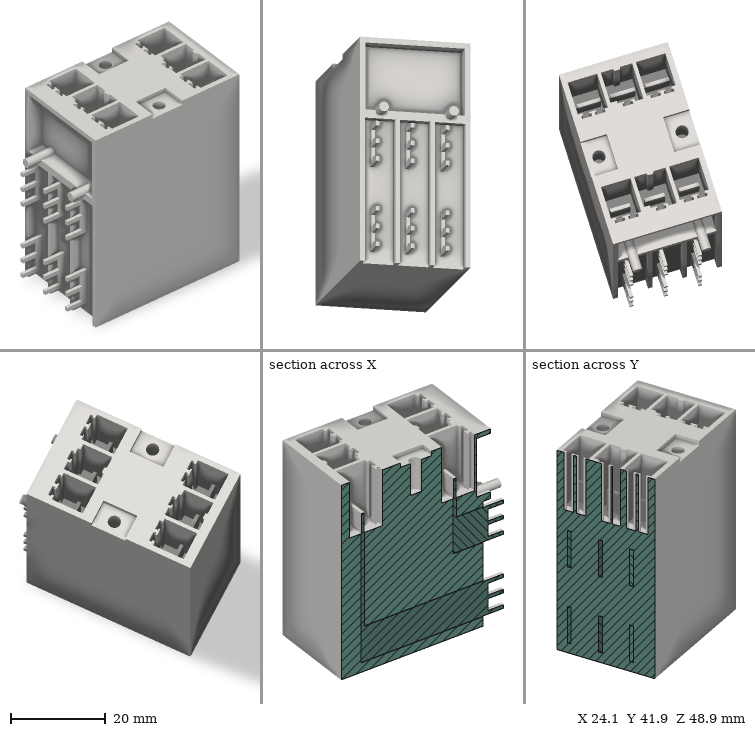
import cadquery as cq


HOUSING_WIDTH = 24.08
HOUSING_DEPTH = 38.6
HOUSING_HEIGHT = 48.9
HALF_WIDTH = HOUSING_WIDTH / 2

POLE_PITCH = 7.62
POLES = (-1, 0, 1)

WINDOW_WIDTH = 21.6
WINDOW_TOP_WALL = 1.2
WINDOW_SILL_Z = 33.1
WINDOW_DEPTH = 3.6
WINDOW_HEIGHT = HOUSING_HEIGHT - WINDOW_TOP_WALL - WINDOW_SILL_Z

PEG_DIAMETER = 2.1
FRONT_PROJECTION = 3.3

CHANNEL_WIDTH = 6.65
CHANNEL_DEPTH = 2.0
CHANNEL_TOP_Z = 31.3

PAD_WIDTH = 5.8
PAD_LENGTH = 7.95
PAD_DEPTH = 1.1
PAD_HOLE_DIAMETER = 2.8
PAD_HOLE_X = 9.2
PAD_HOLE_DEPTH = 8.0

SOCKET_ROW_PITCH = 23.75
SOCKET_BACK_WALL = 2.2
BACK_ROW_Y = HOUSING_DEPTH - SOCKET_BACK_WALL
SOCKET_ROWS_Y = (BACK_ROW_Y - SOCKET_ROW_PITCH, BACK_ROW_Y)
SOCKET_DEPTH = 14.0
SOCKET_FLOOR_Z = HOUSING_HEIGHT - SOCKET_DEPTH
MIDDLE_SOCKET_WIDTH = 6.94
OUTER_SOCKET_WIDTH = 6.54
PARTITION = 0.8

OUTER_SIDE_REACH = 7.25
INNER_SIDE_REACH = 7.65
LAND_REACH = 7.45
MIDDLE_LEFT_REACH = 6.85
MIDDLE_RIGHT_REACH = 8.05
KEYWAY_NECK_REACH = 7.8
KEYWAY_REACH = 8.45

KEYWAY_NECK = 1.4
KEYWAY_WIDTH = 2.2
OUTER_KEYWAY_INNER_X = 6.13
OUTER_KEYWAY_PITCH = 2.97
MIDDLE_LAND_LEFT_X = -2.1
MIDDLE_LAND_RIGHT_X = 1.6

RIB_BASE = 1.6
RIB_TIP = 1.15
RIB_HEIGHT = 0.5

SHEET = 0.8
BLADE_SETBACK = 3.4
BLADE_EXPOSED = 5.0
BLADE_TOP_Z = SOCKET_FLOOR_Z + BLADE_EXPOSED
FRONT_BLADE_WIDTH = 4.4
BACK_BLADE_WIDTH = 6.0
COMB_OFFSET_X = -1.37
COMB_SPINE_Y = 0.6
SOLDER_PIN_HEIGHT = 1.0
SOLDER_PIN_PITCH = 3.87
SOLDER_PINS = 3
COMB_HEIGHT = SOLDER_PIN_HEIGHT + (SOLDER_PINS - 1) * SOLDER_PIN_PITCH
UPPER_COMB_Z = 21.15
LOWER_COMB_Z = 2.55


def box(x_range, y_range, z_range):
    """Box between the given limits along each axis."""
    lows, highs = zip(x_range, y_range, z_range)
    sizes = [high - low for low, high in zip(lows, highs)]
    return cq.Workplane("XY").box(*sizes, centered=False).translate(lows)


def span(centre, width):
    """Limits of a width centred on a place."""
    return (centre - width / 2, centre + width / 2)


def socket_slab(x_range, back_y, reach):
    """Socket-deep cut running forward from the socket's back wall."""
    return box(x_range, (back_y - reach, back_y), (SOCKET_FLOOR_Z, HOUSING_HEIGHT))


def keyway(centre_x, back_y):
    """T-shaped keyway: a narrow neck that opens into a wider slot at the front."""
    neck = socket_slab(span(centre_x, KEYWAY_NECK), back_y, KEYWAY_NECK_REACH)
    slot = box(
        span(centre_x, KEYWAY_WIDTH),
        (back_y - KEYWAY_REACH, back_y - KEYWAY_NECK_REACH),
        (SOCKET_FLOOR_Z, HOUSING_HEIGHT),
    )
    return neck.union(slot)


def coding_rib(back_y):
    """Tapered upright rib on the back wall of a middle socket."""
    return (
        cq.Workplane("XY", origin=(0, back_y, SOCKET_FLOOR_Z))
        .polyline([
            (-RIB_BASE / 2, 0),
            (-RIB_TIP / 2, -RIB_HEIGHT),
            (RIB_TIP / 2, -RIB_HEIGHT),
            (RIB_BASE / 2, 0),
        ])
        .close()
        .extrude(SOCKET_DEPTH)
    )


def middle_socket(back_y):
    """Socket with one keyway, a stepped front wall and a coding rib."""
    half = MIDDLE_SOCKET_WIDTH / 2
    return (
        socket_slab((-half, MIDDLE_LAND_LEFT_X), back_y, MIDDLE_LEFT_REACH)
        .union(socket_slab((MIDDLE_LAND_LEFT_X, MIDDLE_LAND_RIGHT_X), back_y, LAND_REACH))
        .union(socket_slab((MIDDLE_LAND_RIGHT_X, half), back_y, MIDDLE_RIGHT_REACH))
        .union(keyway(0, back_y))
        .cut(coding_rib(back_y))
    )


def right_socket(back_y):
    """Socket on the +X side, with two keyways; the -X socket is its mirror image."""
    inner_x = MIDDLE_SOCKET_WIDTH / 2 + PARTITION
    outer_x = inner_x + OUTER_SOCKET_WIDTH
    outer_keyway_x = OUTER_KEYWAY_INNER_X + OUTER_KEYWAY_PITCH
    return (
        socket_slab((inner_x, OUTER_KEYWAY_INNER_X), back_y, INNER_SIDE_REACH)
        .union(socket_slab((OUTER_KEYWAY_INNER_X, outer_keyway_x), back_y, LAND_REACH))
        .union(socket_slab((outer_keyway_x, outer_x), back_y, OUTER_SIDE_REACH))
        .union(keyway(OUTER_KEYWAY_INNER_X, back_y))
        .union(keyway(outer_keyway_x, back_y))
    )


def front_peg(side):
    """Round peg standing on the window floor and projecting from the front face."""
    return (
        cq.Workplane("XZ", origin=(side * POLE_PITCH, WINDOW_DEPTH, WINDOW_SILL_Z))
        .circle(PEG_DIAMETER / 2)
        .extrude(WINDOW_DEPTH + FRONT_PROJECTION)
    )


def mounting_pad(side):
    """Sunken pad with a screw hole, open at the side of the housing."""
    middle_y = HOUSING_DEPTH / 2
    pad_x = side * (HALF_WIDTH - PAD_WIDTH / 2)
    pad_floor_z = HOUSING_HEIGHT - PAD_DEPTH
    pad = box(span(pad_x, PAD_WIDTH), span(middle_y, PAD_LENGTH), (pad_floor_z, HOUSING_HEIGHT))
    hole = (
        cq.Workplane("XY", origin=(side * PAD_HOLE_X, middle_y, pad_floor_z))
        .circle(PAD_HOLE_DIAMETER / 2)
        .extrude(-PAD_HOLE_DEPTH)
    )
    return pad.union(hole)


def make_housing(terminals):
    """Moulded housing with pegs, sockets and a slot fitting each terminal."""
    body = box((-HALF_WIDTH, HALF_WIDTH), (0, HOUSING_DEPTH), (0, HOUSING_HEIGHT))
    body = body.cut(box(
        span(0, WINDOW_WIDTH),
        (0, WINDOW_DEPTH),
        (WINDOW_SILL_Z, WINDOW_SILL_Z + WINDOW_HEIGHT),
    ))
    for pole in POLES:
        channel_x = span(pole * POLE_PITCH, CHANNEL_WIDTH)
        body = body.cut(box(channel_x, (0, CHANNEL_DEPTH), (0, CHANNEL_TOP_Z)))
    for back_y in SOCKET_ROWS_Y:
        side_socket = right_socket(back_y)
        body = body.cut(middle_socket(back_y))
        body = body.cut(side_socket)
        body = body.cut(side_socket.mirror("YZ"))
    for side in (-1, 1):
        body = body.cut(mounting_pad(side))
        body = body.union(front_peg(side))
    for terminal in terminals:
        body = body.cut(terminal)
    return body


def make_terminal(pole, socket_back_y, blade_width, comb_z):
    """Contact blade in a socket, joined to a comb of solder pins at the front."""
    pole_x = pole * POLE_PITCH
    blade_y = socket_back_y - BLADE_SETBACK
    comb_x = span(pole_x + COMB_OFFSET_X, SHEET)
    blade = box(span(pole_x, blade_width), span(blade_y, SHEET), (comb_z, BLADE_TOP_Z))
    plate = box(comb_x, (COMB_SPINE_Y, blade_y), (comb_z, comb_z + COMB_HEIGHT))
    terminal = blade.union(plate)
    for index in range(SOLDER_PINS):
        pin_z = comb_z + index * SOLDER_PIN_PITCH
        pin_y = (-FRONT_PROJECTION, COMB_SPINE_Y)
        terminal = terminal.union(box(comb_x, pin_y, (pin_z, pin_z + SOLDER_PIN_HEIGHT)))
    return terminal


FRONT_ROW_Y = SOCKET_ROWS_Y[0]
front_terminals = [make_terminal(pole, FRONT_ROW_Y, FRONT_BLADE_WIDTH, UPPER_COMB_Z) for pole in POLES]
back_terminals = [make_terminal(pole, BACK_ROW_Y, BACK_BLADE_WIDTH, LOWER_COMB_Z) for pole in POLES]
housing = make_housing(front_terminals + back_terminals)

result = cq.Compound.makeCompound([
    housing.val(),
    *[terminal.val() for terminal in front_terminals],
    *[terminal.val() for terminal in back_terminals],
])